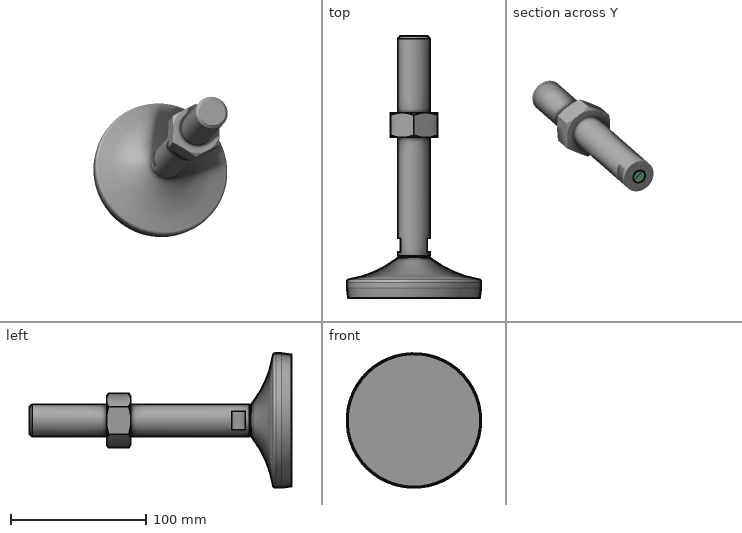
import cadquery as cq
import math

total_length = 194.0

foot_radius = 100.0 / 2
sole_radius = 48.9
taper_height = 7.5
rim_height = 11.6
shoulder_radius = 48.0
shoulder_height = 14.0
flare_mid_radius = 29.1
flare_mid_height = 19.5
collar_radius = 13.2
collar_height = 29.0
foot_top_radius = 11.6
foot_top_height = 30.0

neck_radius = 10.0 / 2

stud_radius = 24.0 / 2
stud_start = 31.2
stud_chamfer = 2.0
wrench_width = 20.0
wrench_start = 34.1
wrench_length = 10.0

nut_width = 35.0
nut_start = 119.0
nut_height = 18.0
nut_chamfer_depth = 1.5
nut_face_radius = 17.7


def make_foot():
    """Revolve the flared foot plate together with its short round neck."""
    corner = foot_radius - shoulder_radius
    rim_bulge = math.sqrt(0.5)
    rim_mid = (
        shoulder_radius + corner * rim_bulge,
        rim_height + (shoulder_height - rim_height) * rim_bulge,
    )
    return (
        cq.Workplane("XY")
        .lineTo(sole_radius, 0)
        .lineTo(foot_radius, taper_height)
        .lineTo(foot_radius, rim_height)
        .threePointArc(rim_mid, (shoulder_radius, shoulder_height))
        .threePointArc((flare_mid_radius, flare_mid_height), (collar_radius, collar_height))
        .lineTo(foot_top_radius, foot_top_height)
        .lineTo(neck_radius, foot_top_height)
        .lineTo(neck_radius, stud_start)
        .lineTo(0, stud_start)
        .close()
        .revolve(360, (0, 0), (0, 1))
    )


def along_axis(start):
    """Workplane normal to +Y at the given height along the axis."""
    return cq.Workplane("XZ", origin=(0, start, 0))


def make_stud():
    """Round stud with a chamfered free end and two opposite wrench flats."""
    stud = along_axis(stud_start).circle(stud_radius).extrude(stud_start - total_length)
    stud = stud.faces(">Y").chamfer(stud_chamfer)
    cutter_depth = stud_radius
    for side in (-1, 1):
        cutter = cq.Workplane("XY").box(cutter_depth, wrench_length, 2 * stud_radius).translate(
            (side * (wrench_width + cutter_depth) / 2, wrench_start + wrench_length / 2, 0)
        )
        stud = stud.cut(cutter)
    return stud


def make_nut():
    """Hexagon with corners on the Z axis, trimmed by a cone at both faces."""
    corner_radius = nut_width / math.sqrt(3)
    hexagon = (
        along_axis(nut_start)
        .transformed(rotate=(0, 0, 90))
        .polygon(6, 2 * corner_radius)
        .extrude(-nut_height)
    )
    nut_end = nut_start + nut_height
    envelope = (
        cq.Workplane("XY")
        .moveTo(0, nut_start)
        .lineTo(nut_face_radius, nut_start)
        .lineTo(corner_radius, nut_start + nut_chamfer_depth)
        .lineTo(corner_radius, nut_end - nut_chamfer_depth)
        .lineTo(nut_face_radius, nut_end)
        .lineTo(0, nut_end)
        .close()
        .revolve(360, (0, 0), (0, 1))
    )
    return hexagon.intersect(envelope)


result = make_foot().union(make_stud()).union(make_nut())